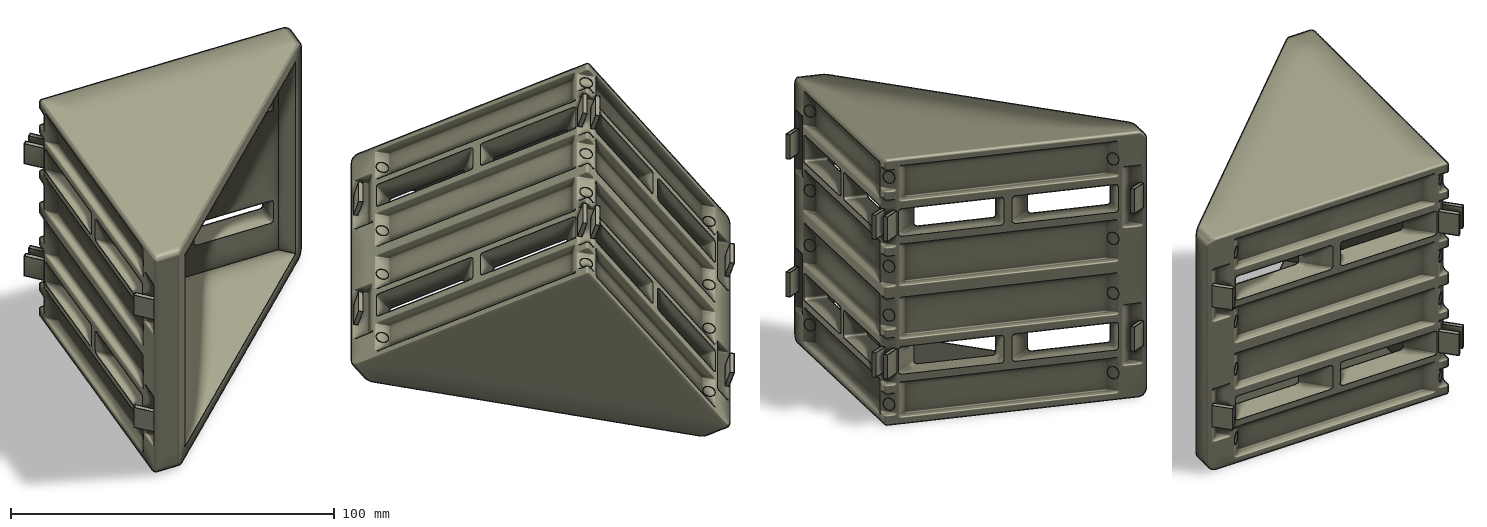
import cadquery as cq
import math

overall = 90.5
side = 85.9
height = 87.0
end_width = 8.1
end_radius = 3.0
edge_radius = 1.0
mid = height / 2

wall = 7.8
plate = 5.0

corner_leg = 4.0

row_offset = 22.5
rows = [mid - row_offset, mid + row_offset]

window_half_height = 4.5
window_radius = 1.0
window_spans = [(4.4, 38.9), (41.6, 76.4)]

pocket_start = 4.6
pocket_end = 76.75
pocket_depth = 3.2
rib_half = 1.5
rim = 2.0
window_frame_half = 6.7
pocket_radius = 0.5
mouth_radius = 0.45

pocket_bands = [(rib_half, row_offset - window_frame_half), (row_offset + window_frame_half, mid - rim)]
corner_clip_half = 8.15
corner_rib = 2.0
corner_rim = 3.0
corner_bands = [
    (rib_half, row_offset - corner_clip_half - corner_rib),
    (row_offset - corner_clip_half, row_offset + corner_clip_half),
    (row_offset + corner_clip_half + corner_rib, mid - corner_rim),
]

groove_end = 84.6
groove_start = 77.7
groove_half_height = 10.3

clip_reach = overall - side
clip_thickness = 1.4
clip_height = 8.0
corner_clip_offset = 2.7
clip_root = 0.9

mark_diameter = 4.0
mark_depth = 0.1
corner_mark_levels = [8.0, 37.1]
pocket_mark_levels = [9.0, 34.9]

eps = 0.9
margin = 0.1


def prism(points, low, high):
    return cq.Workplane("XY").workplane(offset=low).polyline(points).close().extrude(high - low)


def both_sides(shape):
    """The shape together with its reflection in the diagonal plane X = Y."""
    return shape.union(shape.mirror((1, -1, 0)))


def mirrored_bands(bands):
    """Height bands given above mid height, repeated below it."""
    upper = [(mid + low, mid + high) for low, high in bands]
    lower = [(mid - high, mid - low) for low, high in bands]
    return upper + lower


def body():
    outline = [(0, 0), (side, 0), (side, end_width), (end_width, side), (0, side)]
    solid = prism(outline, 0, height)
    solid = solid.faces(">X").edges("|Y").fillet(end_radius)
    solid = solid.faces(">Y").edges("|X").fillet(end_radius)
    return solid.edges().fillet(edge_radius)


def hollow():
    """The inner space, with 45 degree end walls and no wall on the sloping side."""
    far = side - wall
    outline = [(wall, wall), (far, wall), (far + wall, 2 * wall), (2 * wall, far + wall), (wall, far)]
    return prism(outline, plate, height - plate)


def window(start, end, level):
    """A slot with a 45 degree wall at its start and a straight wall at its end."""
    inner = wall + eps
    outline = [(start - eps, -eps), (end, -eps), (end, inner), (start + inner, inner)]
    cutter = prism(outline, level - window_half_height, level + window_half_height)
    return cutter.edges("not (|X or |Z)").fillet(window_radius)


def pocket(low, high):
    outline = [
        (pocket_start - eps, -eps),
        (pocket_end + eps, -eps),
        (pocket_end - pocket_depth, pocket_depth),
        (pocket_start + pocket_depth, pocket_depth),
    ]
    return prism(outline, low + mouth_radius, high - mouth_radius).edges().fillet(pocket_radius)


def groove(level):
    """A right-angled V groove with rounded ends."""
    depth = (groove_end - groove_start) / 2
    outline = [(groove_start - eps, -eps), (groove_end + eps, -eps), (groove_start + depth, depth)]
    half = groove_half_height - mouth_radius
    return prism(outline, level - half, level + half).edges().fillet(pocket_radius)


def corner_recess(low, high):
    outline = [(-eps, -eps), (corner_leg + eps, -eps), (-eps, corner_leg + eps)]
    cutter = prism(outline, low + mouth_radius, high - mouth_radius)
    return cutter.edges().fillet(pocket_radius)


def round_mouths(solid, start, end, low, high):
    """Round the mouth edges of an opening in both panel faces, from start to end along each panel."""
    in_x_panel = cq.selectors.BoxSelector(
        (start - margin, -margin, low), (end + margin, margin, high), boundingbox=True
    )
    in_y_panel = cq.selectors.BoxSelector(
        (-margin, start - margin, low), (margin, end + margin, high), boundingbox=True
    )
    return solid.edges(in_x_panel + in_y_panel).fillet(mouth_radius)


def clip(foot_leg, offset, level):
    """A tab standing on the face X + Y = foot_leg, its outer side at offset from the plane X = Y."""
    foot = foot_leg / math.sqrt(2)
    length = clip_reach * math.sqrt(2)
    tab = cq.Workplane("XY").box(
        length + clip_root, clip_thickness, clip_height, centered=(False, False, True)
    )
    tab = tab.translate((foot - length, -offset, level))
    return tab.rotate((0, 0, 0), (0, 0, 1), 45)


def mark(center_x, center_y, level):
    """Cutter for a shallow round dent in a 45 degree face."""
    face = cq.Plane(origin=(center_x, center_y, level), xDir=(1, -1, 0), normal=(1, 1, 0))
    return cq.Workplane(face).circle(mark_diameter / 2).extrude(mark_depth)


result = body().cut(hollow())

for level in rows:
    for start, end in window_spans:
        result = result.cut(both_sides(window(start, end, level)))
    result = result.cut(both_sides(groove(level)))
    low = level - groove_half_height
    high = level + groove_half_height
    result = round_mouths(result, groove_start, groove_end, low, high)

for low, high in mirrored_bands(pocket_bands):
    result = result.cut(both_sides(pocket(low, high)))
    result = round_mouths(result, pocket_start, pocket_end, low, high)

for low, high in mirrored_bands(corner_bands):
    result = result.cut(corner_recess(low, high))
    result = round_mouths(result, 0, corner_leg, low, high)

for level in rows:
    corner_clip = clip(corner_leg, corner_clip_offset, level)
    end_clip = clip(groove_end, groove_end / math.sqrt(2), level)
    result = result.union(both_sides(corner_clip)).union(both_sides(end_clip))

for direction in (-1, 1):
    for offset in corner_mark_levels:
        result = result.cut(mark(corner_leg / 2, corner_leg / 2, mid + direction * offset))
    for offset in pocket_mark_levels:
        pocket_mark = mark(pocket_end - pocket_depth / 2, pocket_depth / 2, mid + direction * offset)
        result = result.cut(both_sides(pocket_mark))